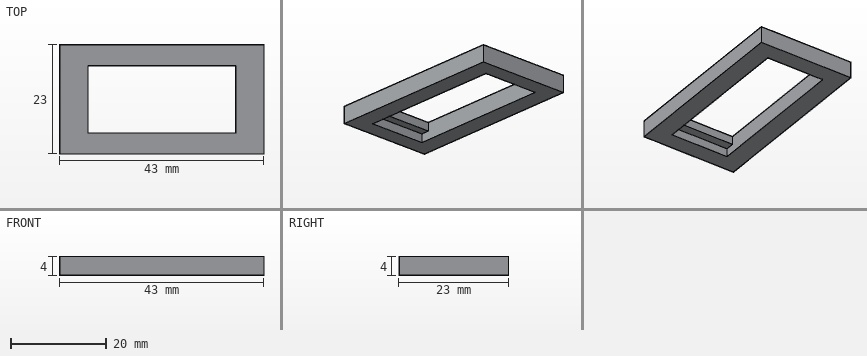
import cadquery as cq

frame_length = 43.0
frame_width = 23.0
frame_thickness = 4.0

window_length = 31.0
window_width = 14.1

recess_overhang = 2.0
recess_depth = frame_thickness / 2
recess_length = window_length + 2 * recess_overhang


def block(length, width, height):
    """Box centred in X and Y with its underside on Z = 0."""
    return cq.Workplane("XY").box(length, width, height, centered=(True, True, False))


frame = block(frame_length, frame_width, frame_thickness)
window = block(window_length, window_width, frame_thickness)
recess = block(recess_length, window_width, recess_depth)

result = frame.cut(window).cut(recess)